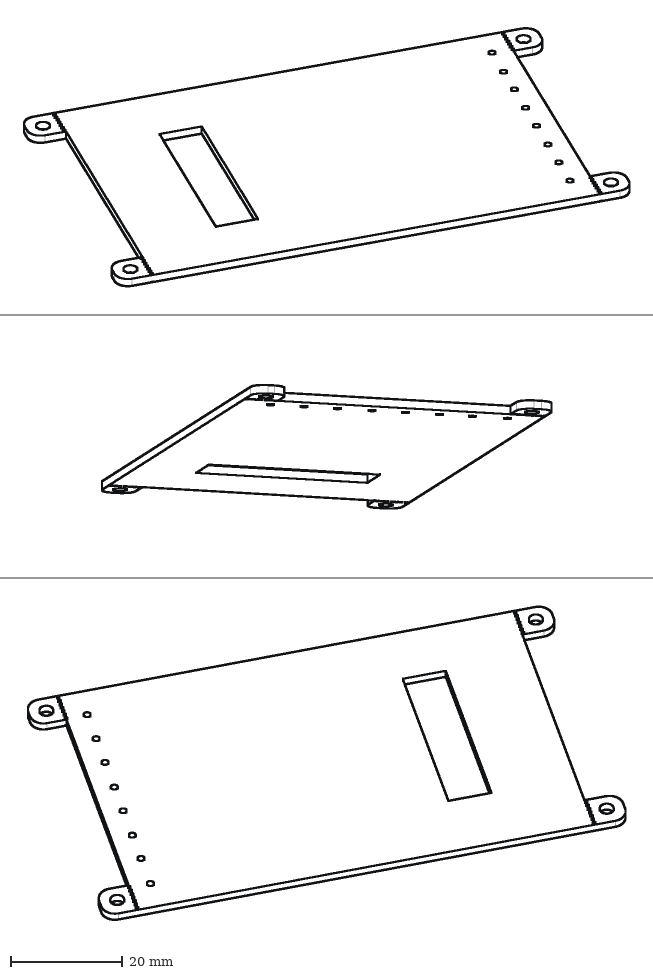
import cadquery as cq

overall_width = 56.5
overall_length = 97.5
thickness = 1.6
plate_top_y = 42.6
plate_bottom_y = -42.2
plate_length = plate_top_y - plate_bottom_y
plate_center_y = (plate_top_y + plate_bottom_y) / 2

left_tab_width = 6.5
right_tab_width = 6.2
tab_corner_radius = 2.5
tab_hole_diameter = 2.5
tab_hole_end_distance = 3.2
left_tab_hole_side_distance = 3.4
right_tab_hole_side_distance = 3.1

perforation_diameter = 0.5
perforation_pitch = 0.91
perforation_count = 7
perforation_top_y = plate_top_y
perforation_bottom_y = -42.4

wire_hole_diameter = 1.3
wire_hole_y = 38.7
wire_hole_x = [-22.3, -15.7, -9.6, -3.1, 3.1, 9.7, 15.9, 22.2]

window_width = 32.2
window_height = 8.0
window_center = (0.5, -22.5)

half_width = overall_width / 2
half_length = overall_length / 2


def tab_width(side):
    return left_tab_width if side < 0 else right_tab_width


def plate_end_y(end):
    return plate_top_y if end > 0 else plate_bottom_y


def tab(side, end):
    """Tab on X side (-1 or 1) at Y end (-1 or 1), rounded at its outer corners."""
    width = tab_width(side)
    length = half_length - end * plate_end_y(end)
    return (
        cq.Workplane("XY")
        .box(width, length, thickness, centered=(True, True, False))
        .edges("|Z and >Y" if end > 0 else "|Z and <Y")
        .fillet(tab_corner_radius)
        .translate((side * (half_width - width / 2), end * (half_length - length / 2), 0))
    )


def tab_hole_point(side, end):
    side_distance = left_tab_hole_side_distance if side < 0 else right_tab_hole_side_distance
    return (side * (half_width - side_distance), end * (half_length - tab_hole_end_distance))


def perforation_points(side, end):
    """Row of hole centres across the root of one tab, centred on the tab."""
    center_x = side * (half_width - tab_width(side) / 2)
    first_x = center_x - perforation_pitch * (perforation_count - 1) / 2
    y = perforation_top_y if end > 0 else perforation_bottom_y
    return [(first_x + i * perforation_pitch, y) for i in range(perforation_count)]


def through_holes(points, diameter):
    return cq.Workplane("XY").pushPoints(points).circle(diameter / 2).extrude(thickness)


body = (
    cq.Workplane("XY")
    .center(0, plate_center_y)
    .rect(overall_width, plate_length)
    .extrude(thickness)
)
corners = [(side, end) for side in (-1, 1) for end in (-1, 1)]
for side, end in corners:
    body = body.union(tab(side, end))

tab_hole_points = [tab_hole_point(side, end) for side, end in corners]
body = body.cut(through_holes(tab_hole_points, tab_hole_diameter))
body = body.cut(through_holes([(x, wire_hole_y) for x in wire_hole_x], wire_hole_diameter))
for side, end in corners:
    body = body.cut(through_holes(perforation_points(side, end), perforation_diameter))

window = (
    cq.Workplane("XY")
    .center(*window_center)
    .rect(window_width, window_height)
    .extrude(thickness)
)
result = body.cut(window)